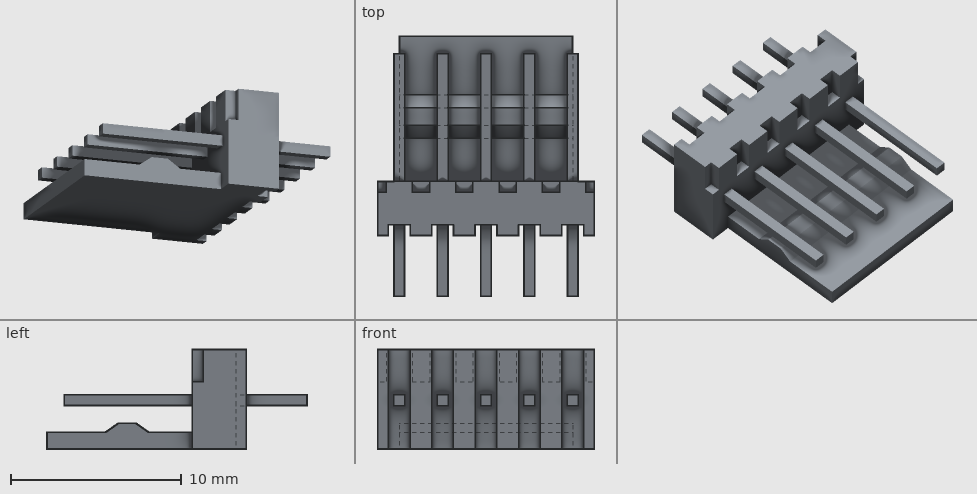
import cadquery as cq


pin_count = 5
pitch = 2.54
pin_size = 0.635
pin_center_z = 2.87
front_pin_length = 3.556
rear_pin_length = 7.493

wall_length = pin_count * pitch
wall_depth = 3.175
wall_height = 5.84

groove_width = pitch / 2
groove_depth = 0.635

notch_width = 1.016
notch_depth = 0.635
notch_height = 1.905

plate_width = (pin_count - 1) * pitch
plate_length = 8.509
plate_thickness = 0.99
ridge_top_z = 1.524
ridge_start = 2.54
ridge_top_start = 3.302
ridge_top_end = 4.318
ridge_end = 5.08

wall_front_y = -wall_depth
pin_positions = [(i - (pin_count - 1) / 2) * pitch for i in range(pin_count)]
notch_positions = [(i - pin_count / 2) * pitch for i in range(pin_count + 1)]


def box_between(x_center, width, y_min, y_max, z_min, z_max):
    """Box centred on x_center, filling the given Y and Z ranges."""
    return (
        cq.Workplane("XY")
        .box(width, y_max - y_min, z_max - z_min, centered=(True, False, False))
        .translate((x_center, y_min, z_min))
    )


def make_wall():
    """Upright wall with its front grooves and rear notches cut."""
    wall = box_between(0, wall_length, wall_front_y, 0, 0, wall_height)
    groove_floor_y = wall_front_y + groove_depth
    for x in pin_positions:
        wall = wall.cut(box_between(x, groove_width, wall_front_y, groove_floor_y, 0, wall_height))
    notch_floor_z = wall_height - notch_height
    for x in notch_positions:
        wall = wall.cut(box_between(x, notch_width, -notch_depth, 0, notch_floor_z, wall_height))
    return wall


def make_latch_plate():
    """Flat plate with a trapezoidal ridge, extruded along X from its YZ profile."""
    profile = [
        (0, 0),
        (plate_length, 0),
        (plate_length, plate_thickness),
        (ridge_end, plate_thickness),
        (ridge_top_end, ridge_top_z),
        (ridge_top_start, ridge_top_z),
        (ridge_start, plate_thickness),
        (0, plate_thickness),
    ]
    return cq.Workplane("YZ").polyline(profile).close().extrude(plate_width / 2, both=True)


def make_pin(x):
    """Straight square pin passing through the wall."""
    bottom_z = pin_center_z - pin_size / 2
    front_tip_y = wall_front_y - front_pin_length
    return box_between(x, pin_size, front_tip_y, rear_pin_length, bottom_z, bottom_z + pin_size)


result = make_wall().union(make_latch_plate())
for pin_x in pin_positions:
    result = result.union(make_pin(pin_x))